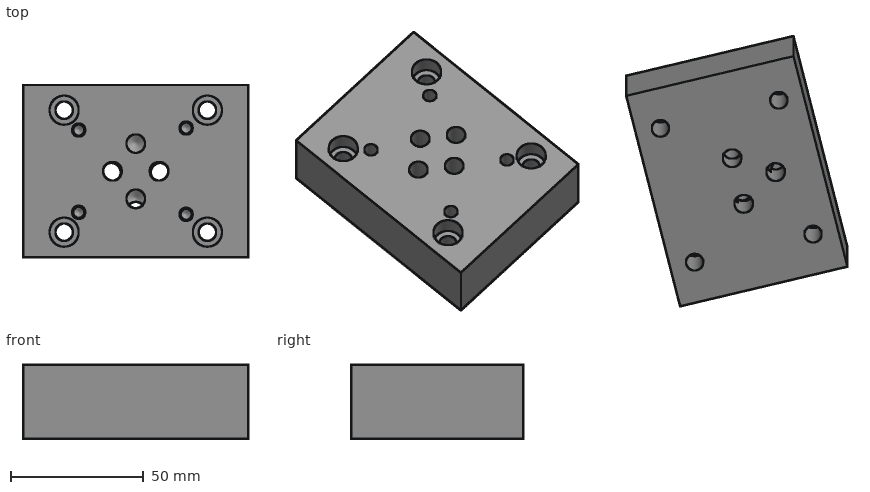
import cadquery as cq
import math

LENGTH = 85.0
WIDTH = 65.0
HEIGHT = 28.0

MOUNT_PITCH_X = 54.0
MOUNT_PITCH_Y = 46.0
MOUNT_DIAMETER = 6.5
COUNTERBORE_DIAMETER = 11.0
COUNTERBORE_DEPTH = 8.0

FLOW_DIAMETER = 7.0
FLOW_DEPTH = 16.0
FLOW_OFFSET_X = 8.75
FLOW_OFFSET_Y = 10.4
DRILL_POINT_ANGLE = 118.0

TAP_DIAMETER = 5.0
TAP_DEPTH = 10.0
TAP_DRILL_DIAMETER = 4.2
TAP_DRILL_DEPTH = 13.0
TAP_LEFT_X = -21.5
TAP_RIGHT_X = 19.0
TAP_LEFT_PITCH_Y = 31.0
TAP_RIGHT_PITCH_Y = 32.5

PASSAGE_DIAMETER = 7.0
PASSAGE_DEPTH = 16.0
SIDE_PASSAGE_OFFSET = 0.45
FRONT_PASSAGE_Y = -15.1


def cylinder(x, y, base_z, diameter, height):
    """Vertical cylinder standing on base_z."""
    return cq.Workplane("XY", origin=(x, y, base_z)).circle(diameter / 2).extrude(height)


def drilled_hole(x, y, diameter, depth):
    """Blind hole from the top face with a full-diameter depth and a conical drill point."""
    radius = diameter / 2
    point_length = radius / math.tan(math.radians(DRILL_POINT_ANGLE / 2))
    shoulder_z = HEIGHT - depth
    profile = (
        cq.Workplane("XZ")
        .moveTo(0, shoulder_z - point_length)
        .lineTo(radius, shoulder_z)
        .lineTo(radius, HEIGHT)
        .lineTo(0, HEIGHT)
        .close()
    )
    return profile.revolve(360, (0, 0, 0), (0, 1, 0)).translate((x, y, 0))


def cut_mounting_holes(body):
    """Through holes with counterbores in the top face."""
    counterbore_floor = HEIGHT - COUNTERBORE_DEPTH
    for x in (-MOUNT_PITCH_X / 2, MOUNT_PITCH_X / 2):
        for y in (-MOUNT_PITCH_Y / 2, MOUNT_PITCH_Y / 2):
            body = body.cut(cylinder(x, y, 0, MOUNT_DIAMETER, HEIGHT))
            body = body.cut(cylinder(x, y, counterbore_floor, COUNTERBORE_DIAMETER, COUNTERBORE_DEPTH))
    return body


def cut_tapped_holes(body):
    """Thread-diameter bores over deeper, smaller tap-drill holes."""
    for x, pitch_y in ((TAP_LEFT_X, TAP_LEFT_PITCH_Y), (TAP_RIGHT_X, TAP_RIGHT_PITCH_Y)):
        for y in (-pitch_y / 2, pitch_y / 2):
            body = body.cut(drilled_hole(x, y, TAP_DRILL_DIAMETER, TAP_DRILL_DEPTH))
            body = body.cut(cylinder(x, y, HEIGHT - TAP_DEPTH, TAP_DIAMETER, TAP_DEPTH))
    return body


def cut_flow_holes(body):
    """Blind drilled holes of the valve face."""
    centres = (
        (-FLOW_OFFSET_X, 0),
        (FLOW_OFFSET_X, 0),
        (0, -FLOW_OFFSET_Y),
        (0, FLOW_OFFSET_Y),
    )
    for x, y in centres:
        body = body.cut(drilled_hole(x, y, FLOW_DIAMETER, FLOW_DEPTH))
    return body


def cut_lower_passages(body):
    """Flat-ended bores overlapping the two side flow holes and the -Y one."""
    side_x = FLOW_OFFSET_X + SIDE_PASSAGE_OFFSET
    centres = (
        (-side_x, -SIDE_PASSAGE_OFFSET),
        (side_x, -SIDE_PASSAGE_OFFSET),
        (0, FRONT_PASSAGE_Y),
    )
    for x, y in centres:
        body = body.cut(cylinder(x, y, 0, PASSAGE_DIAMETER, PASSAGE_DEPTH))
    return body


result = cq.Workplane("XY").box(LENGTH, WIDTH, HEIGHT, centered=(True, True, False))
result = cut_mounting_holes(result)
result = cut_tapped_holes(result)
result = cut_flow_holes(result)
result = cut_lower_passages(result)